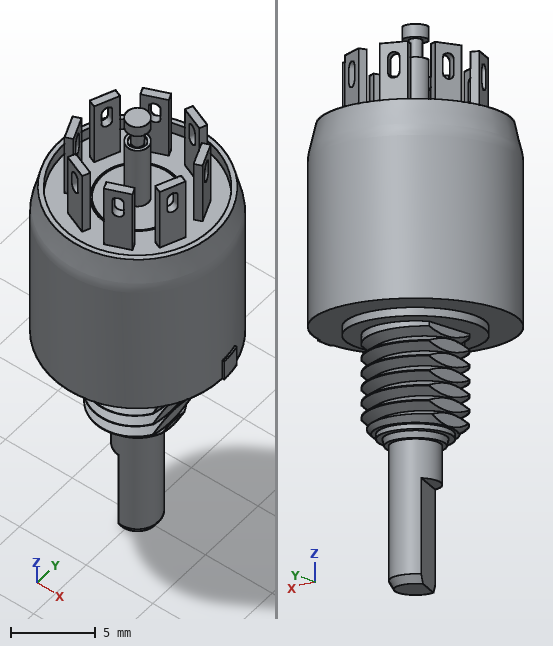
import cadquery as cq
import math


case_radius = 6.35
case_height = 12.33
taper_height = 2.0
rim_radius = 5.87
shoulder_blend = 3.02
cup_radius = 5.53
cup_depth = 0.85
deck_z = case_height - cup_depth

tab_radius = case_radius + 0.15
tab_width = 1.4
tab_height = 1.55

collar_radius = 4.33
collar_height = 0.5
bushing_half_flat = 2.6
bevel_end_radius = 2.6
relief_z = -6.55
relief_radius = 2.35
nose_z = -6.87
nose_radius = 1.95
nose_end_radius = 1.85
bushing_end_z = -7.28

thread_radius = 3.2
thread_depth = 0.7
thread_turns = 7
pitches_per_diameter = 7
pitch = 2 * thread_radius / pitches_per_diameter
runout_angle = 245
thread_top_z = -collar_height - pitch / 2
mouth_overrun = 0.05
crest_gap = 0.017

terminal_count = 8
terminal_ring_radius = 3.95
terminal_width = 1.75
terminal_thickness = 0.55
terminal_top_z = 16.28
eye_width = 0.72
eye_length = 1.58
eye_drop = 1.37
half_step = 180 / terminal_count

disc_radius = 2.78
disc_thickness = 1.03
disc_bevel = 0.1
post_radius = 0.8
recess_radius = 0.6
recess_depth = 0.1
neck_radius = 0.4
head_bottom_z = 17.5
head_top_z = 18.3
shaft_radius = 1.58
shaft_end_z = -16.05
shaft_bevel_height = 0.5
shaft_bevel_angle = 30
shaft_bevel = shaft_bevel_height * math.tan(math.radians(shaft_bevel_angle))
flat_top_z = -9.65
flat_offset = shaft_radius / 2
flat_angle = 180 + half_step


def cylinder(radius, bottom_z, top_z):
    return cq.Workplane("XY").workplane(offset=bottom_z).circle(radius).extrude(top_z - bottom_z)


def make_case():
    shoulder_z = case_height - taper_height
    taper_angle = math.atan2(case_radius - rim_radius, taper_height)
    blend_reach = shoulder_blend * math.tan(taper_angle / 2)
    arc_center_r = case_radius - shoulder_blend
    arc_start_z = shoulder_z - blend_reach

    def on_blend(angle):
        radius = arc_center_r + shoulder_blend * math.cos(angle)
        return (radius, arc_start_z + shoulder_blend * math.sin(angle))

    profile = (
        cq.Workplane("XZ")
        .moveTo(0, 0)
        .lineTo(case_radius, 0)
        .lineTo(case_radius, arc_start_z)
        .threePointArc(on_blend(taper_angle / 2), on_blend(taper_angle))
        .lineTo(rim_radius, case_height)
        .lineTo(cup_radius, case_height)
        .lineTo(cup_radius, deck_z)
        .lineTo(0, deck_z)
        .close()
    )
    return profile.revolve(360, (0, 0, 0), (0, 1, 0))


def make_tab():
    block = (
        cq.Workplane("XY")
        .box(tab_radius, tab_width, tab_height, centered=False)
        .cut(cylinder(collar_radius, 0, tab_height))
    )
    return block.intersect(cylinder(tab_radius, 0, tab_height))


def make_thread_groove():
    half_mouth = (pitch - crest_gap) / 2
    mouth_radius = thread_radius + mouth_overrun
    helix = cq.Wire.makeHelix(pitch, pitch * thread_turns, thread_radius)
    groove = (
        cq.Workplane("XZ")
        .moveTo(thread_radius - thread_depth, 0)
        .lineTo(mouth_radius, half_mouth)
        .lineTo(mouth_radius, -half_mouth)
        .close()
        .sweep(cq.Workplane(obj=helix), isFrenet=True)
    )
    start_z = thread_top_z - pitch * thread_turns
    return groove.rotate((0, 0, 0), (0, 0, 1), runout_angle).translate((0, 0, start_z))


def make_bushing():
    envelope_radius = 2 * thread_radius
    blank = cylinder(thread_radius, bushing_end_z, -collar_height)
    threaded_bar = blank.cut(make_thread_groove())
    envelope = (
        cq.Workplane("XZ")
        .moveTo(0, -collar_height)
        .lineTo(envelope_radius, -collar_height)
        .lineTo(envelope_radius, relief_z + envelope_radius - bevel_end_radius)
        .lineTo(bevel_end_radius, relief_z)
        .lineTo(relief_radius, relief_z)
        .lineTo(relief_radius, nose_z)
        .lineTo(nose_radius, nose_z)
        .lineTo(nose_end_radius, bushing_end_z)
        .lineTo(0, bushing_end_z)
        .close()
        .revolve(360, (0, 0, 0), (0, 1, 0))
    )
    flats = cq.Workplane("XY").box(2 * bushing_half_flat, 2 * thread_radius, -2 * bushing_end_z)
    return threaded_bar.intersect(envelope).intersect(flats)


def make_terminal(angle):
    height = terminal_top_z - deck_z
    blade = (
        cq.Workplane("XY")
        .box(terminal_thickness, terminal_width, height, centered=(True, True, False))
        .translate((terminal_ring_radius, 0, deck_z))
    )
    eye = (
        cq.Workplane("YZ")
        .center(0, terminal_top_z - eye_drop)
        .slot2D(eye_length, eye_width, 90)
        .extrude(2 * terminal_ring_radius)
    )
    return blade.cut(eye).rotate((0, 0, 0), (0, 0, 1), angle)


def make_housing():
    housing = make_case().union(make_tab())
    housing = housing.union(cylinder(collar_radius, -collar_height, 0))
    housing = housing.union(make_bushing())
    for index in range(terminal_count):
        housing = housing.union(make_terminal(half_step + index * 360 / terminal_count))
    disc_seat = cylinder(disc_radius, deck_z - disc_thickness, deck_z)
    shaft_bore = cylinder(shaft_radius, bushing_end_z, deck_z - disc_thickness)
    return housing.cut(disc_seat).cut(shaft_bore)


def make_shaft():
    shaft = cylinder(shaft_radius, shaft_end_z, deck_z - disc_thickness)
    shaft = shaft.faces("<Z").chamfer(shaft_bevel_height, shaft_bevel)
    flat_cut = (
        cq.Workplane("XY")
        .box(shaft_radius, 2 * shaft_radius, flat_top_z - shaft_end_z, centered=(False, True, False))
        .translate((flat_offset, 0, shaft_end_z))
        .rotate((0, 0, 0), (0, 0, 1), flat_angle)
    )
    return shaft.cut(flat_cut)


def make_rotor():
    disc = cylinder(disc_radius, deck_z - disc_thickness, deck_z).faces(">Z").chamfer(disc_bevel)
    post = cylinder(post_radius, deck_z, terminal_top_z)
    recess = cylinder(recess_radius, terminal_top_z - recess_depth, terminal_top_z)
    neck = cylinder(neck_radius, terminal_top_z - recess_depth, head_bottom_z)
    head = cylinder(post_radius, head_bottom_z, head_top_z)
    return make_shaft().union(disc).union(post.cut(recess)).union(neck).union(head)


housing = make_housing()
rotor = make_rotor()
result = cq.Compound.makeCompound([housing.val(), rotor.val()])